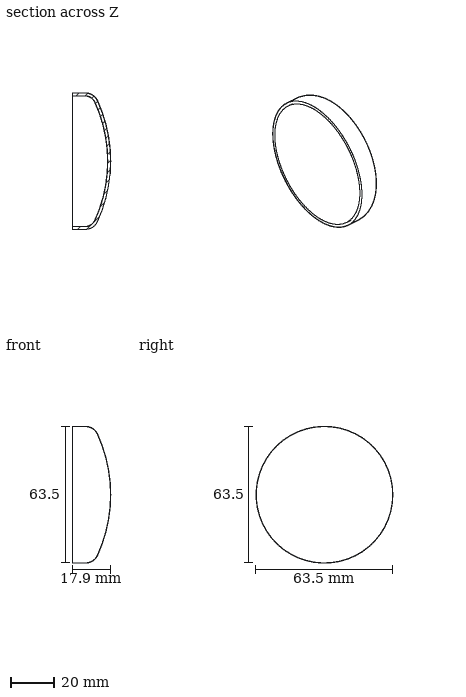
import cadquery as cq
import math

outer_diameter = 63.5
inner_diameter = 60.5
total_depth = 17.85
rim_length = 6.05
shoulder_radius = 6.3

outer_radius = outer_diameter / 2
wall = (outer_diameter - inner_diameter) / 2

shoulder_center_r = outer_radius - shoulder_radius

dome_rise = total_depth - rim_length
dome_radius = (shoulder_center_r**2 + dome_rise**2 - shoulder_radius**2) / (2 * (dome_rise - shoulder_radius))
dome_center_x = total_depth - dome_radius

tangent_angle = math.atan2(shoulder_center_r, rim_length - dome_center_x)


def solid_cap(offset):
    """Revolve the filled cap whose surface lies `offset` inside the outer surface."""
    shoulder = shoulder_radius - offset
    dome = dome_radius - offset

    def shoulder_point(angle):
        return (
            rim_length + shoulder * math.cos(angle),
            shoulder_center_r + shoulder * math.sin(angle),
        )

    def dome_point(angle):
        return (dome_center_x + dome * math.cos(angle), dome * math.sin(angle))

    profile = (
        cq.Workplane("XY")
        .lineTo(0, outer_radius - offset)
        .lineTo(rim_length, outer_radius - offset)
        .threePointArc(
            shoulder_point((math.pi / 2 + tangent_angle) / 2),
            shoulder_point(tangent_angle),
        )
        .threePointArc(dome_point(tangent_angle / 2), dome_point(0))
        .close()
    )
    return profile.revolve(360, (0, 0, 0), (1, 0, 0))


result = solid_cap(0).cut(solid_cap(wall))